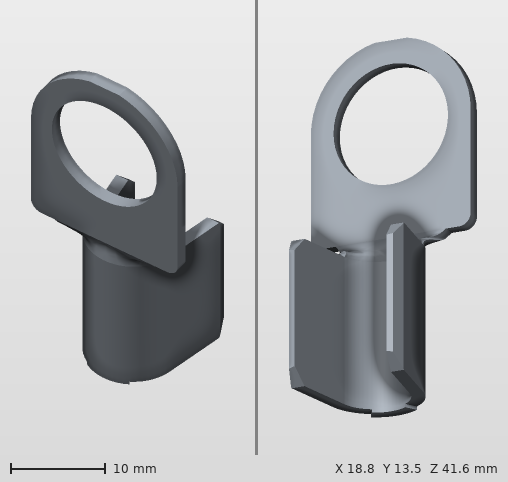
import cadquery as cq
import math

TOTAL_HEIGHT = 41.55
TOTAL_DEPTH = 13.45
SHEET = 1.5

PLATE_WIDTH = 18.8
PLATE_BOTTOM = 19.45
PLATE_CORNER_RADIUS = 1.35
TOP_FLAT_WIDTH = 3.8
HOLE_DIAMETER = 13.45
HOLE_CENTER_Z = 32.15

BARREL_BOTTOM = 0.37
BARREL_TOP = 16.85
BARREL_RADIUS = 5.4
ARM_LEAN = math.radians(10)
TIP_WIDTH = SHEET / 2
TIP_BEVEL_LENGTH = 1.35
ARM_CORNER_CUT = 1.75

TONGUE_HALF_ANGLE = math.radians(30)

NECK_SECTIONS = [
    (17.6, 5.95, 1.2, 0.12),
    (18.02, 5.75, 0.7, 0.2),
    (18.5, 5.8, 0.2, 0.3),
]

BEND_INNER_RADIUS = BARREL_RADIUS - SHEET
BEND_HALF_ANGLE = math.pi / 2 - ARM_LEAN
BEND_HALF_LENGTH = (BARREL_RADIUS - SHEET / 2) * BEND_HALF_ANGLE
FLAT_BEND_ANGLE = 0.01


def bend_point(radius, angle, center_y):
    """Point on a bend, with the angle measured from its front-most point toward +X."""
    return (radius * math.sin(angle), center_y - radius * math.cos(angle))


def bent_strip(half_angle, outer_radius=BARREL_RADIUS, set_back=0.0, z=0.0):
    """Closed cross-section of a sheet bent to an arc whose front is at Y = set_back."""
    inner_radius = outer_radius - SHEET
    center_y = set_back + outer_radius
    return (
        cq.Workplane("XY", origin=(0, 0, z))
        .moveTo(*bend_point(outer_radius, -half_angle, center_y))
        .threePointArc((0, set_back), bend_point(outer_radius, half_angle, center_y))
        .lineTo(*bend_point(inner_radius, half_angle, center_y))
        .threePointArc((0, set_back + SHEET), bend_point(inner_radius, -half_angle, center_y))
        .close()
    )


def make_plate():
    """Rounded ring plate with a short flat on top and a large hole."""
    half_width = PLATE_WIDTH / 2
    half_flat = TOP_FLAT_WIDTH / 2
    arc_drop = half_width - math.sqrt(half_width**2 - half_flat**2)
    arc_center_z = TOTAL_HEIGHT + arc_drop - half_width
    arc_mid_offset = half_width * math.sqrt(0.5)
    arc_mid_z = arc_center_z + arc_mid_offset

    outline = (
        cq.Workplane("XZ")
        .moveTo(-half_width, PLATE_BOTTOM)
        .lineTo(half_width, PLATE_BOTTOM)
        .lineTo(half_width, arc_center_z)
        .threePointArc((arc_mid_offset, arc_mid_z), (half_flat, TOTAL_HEIGHT))
        .lineTo(-half_flat, TOTAL_HEIGHT)
        .threePointArc((-arc_mid_offset, arc_mid_z), (-half_width, arc_center_z))
        .close()
    )
    blank = outline.extrude(-SHEET).edges("|Y and <Z").fillet(PLATE_CORNER_RADIUS)
    hole = (
        cq.Workplane("XZ", origin=(0, 0, HOLE_CENTER_Z))
        .circle(HOLE_DIAMETER / 2)
        .extrude(-SHEET)
    )
    return blank.cut(hole)


def make_arm():
    """Flat arm on the +X side, with a beveled tip and cut corners."""
    outer_start = bend_point(BARREL_RADIUS, BEND_HALF_ANGLE, BARREL_RADIUS)
    inner_start = bend_point(BEND_INNER_RADIUS, BEND_HALF_ANGLE, BARREL_RADIUS)
    arm_length = (TOTAL_DEPTH - inner_start[1]) / math.cos(ARM_LEAN)

    def along(start, length):
        """Point reached by moving up the leaning arm from start."""
        return (start[0] + length * math.sin(ARM_LEAN), start[1] + length * math.cos(ARM_LEAN))

    inner_tip = along(inner_start, arm_length)
    outer_tip = (
        inner_tip[0] + TIP_WIDTH * math.cos(ARM_LEAN),
        inner_tip[1] - TIP_WIDTH * math.sin(ARM_LEAN),
    )
    bevel_start = along(outer_start, arm_length - TIP_BEVEL_LENGTH)
    arm = (
        cq.Workplane("XY", origin=(0, 0, BARREL_BOTTOM))
        .polyline([inner_start, outer_start, bevel_start, outer_tip, inner_tip])
        .close()
        .extrude(BARREL_TOP - BARREL_BOTTOM)
    )
    side_outline = (
        cq.Workplane("YZ")
        .polyline([
            (0, BARREL_BOTTOM),
            (TOTAL_DEPTH - ARM_CORNER_CUT, BARREL_BOTTOM),
            (TOTAL_DEPTH, BARREL_BOTTOM + ARM_CORNER_CUT),
            (TOTAL_DEPTH, BARREL_TOP - ARM_CORNER_CUT),
            (TOTAL_DEPTH - ARM_CORNER_CUT, BARREL_TOP),
            (0, BARREL_TOP),
        ])
        .close()
        .extrude(PLATE_WIDTH)
    )
    return arm.intersect(side_outline)


def make_barrel():
    """Bent bottom of the U, its two arms and the tongue below."""
    bend = bent_strip(BEND_HALF_ANGLE, z=BARREL_BOTTOM).extrude(BARREL_TOP - BARREL_BOTTOM)
    tongue = bent_strip(TONGUE_HALF_ANGLE).extrude(BARREL_BOTTOM)
    arm = make_arm()
    return bend.union(arm).union(arm.mirror("YZ")).union(tongue)


def make_neck():
    """Transition that flattens the U-shaped bend into the flat plate."""
    sections = [
        (BARREL_TOP, BEND_HALF_LENGTH, BEND_HALF_ANGLE, 0.0),
        *NECK_SECTIONS,
        (PLATE_BOTTOM, BEND_HALF_LENGTH, FLAT_BEND_ANGLE, 0.0),
    ]
    wires = []
    for z, half_length, half_angle, set_back in sections:
        outer_radius = half_length / half_angle + SHEET / 2
        wires.append(bent_strip(half_angle, outer_radius, set_back, z).val())
    return cq.Workplane(obj=cq.Solid.makeLoft(wires))


result = make_plate().union(make_neck()).union(make_barrel())